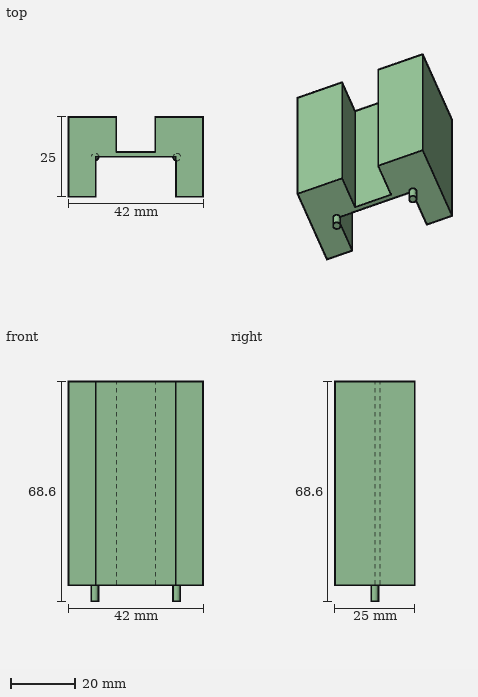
import cadquery as cq

body_width = 42.0
body_depth = 25.0
overall_height = 68.6

pin_diameter = 2.3
pin_length = 5.0
pin_spacing = 25.5

front_channel_width = 25.0
front_channel_depth = body_depth / 2
back_channel_width = 12.1
back_channel_depth = 11.0

body_height = overall_height - pin_length


def make_channel(width, depth, side):
    """Cutter open on the front face (side = -1) or the back face (side = 1)."""
    center_y = side * (body_depth - depth) / 2
    return (
        cq.Workplane("XY", origin=(0, center_y, pin_length))
        .rect(width, depth)
        .extrude(body_height)
    )


def make_body():
    """H-shaped block whose two channels leave a thin web between the sides."""
    block = (
        cq.Workplane("XY", origin=(0, 0, pin_length))
        .rect(body_width, body_depth)
        .extrude(body_height)
    )
    front_channel = make_channel(front_channel_width, front_channel_depth, -1)
    back_channel = make_channel(back_channel_width, back_channel_depth, 1)
    return block.cut(front_channel).cut(back_channel)


def make_pin(center_x):
    """Round pin that touches the underside of the body at a channel corner."""
    return (
        cq.Workplane("XY", origin=(center_x, 0, 0))
        .circle(pin_diameter / 2)
        .extrude(pin_length)
    )


body = make_body()
pins = [make_pin(side * pin_spacing / 2) for side in (-1, 1)]

result = cq.Compound.makeCompound([body.val(), *[pin.val() for pin in pins]])